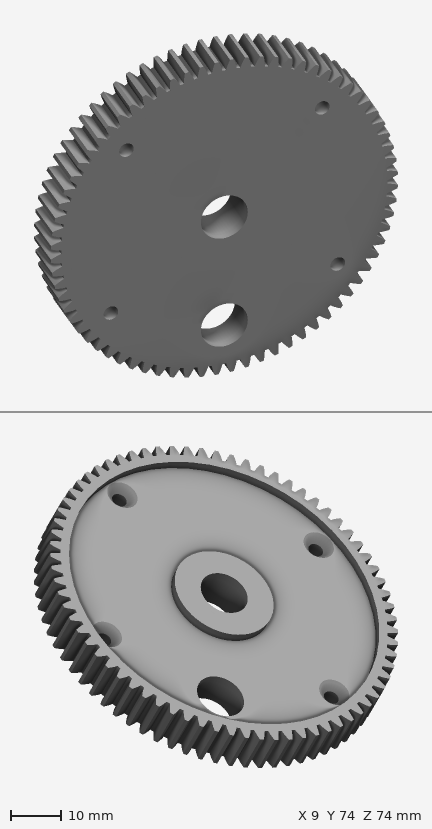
import cadquery as cq
import math

outer_size = 73.95
thickness = 9.0

tooth_count = 72
pressure_angle = math.radians(20)
addendum_factor = 1.0
dedendum_factor = 1.25

recess_radius = 33.0
recess_depth = 2.0
hub_radius = 10.5

bore_diameter = 10.0
lower_hole_offset = 25.6

screw_circle_radius = 29.5
screw_angles = [45, 135, 215, 325]
screw_hole_diameter = 3.1
countersink_diameter = 6.4
countersink_angle = 90


def involute(angle):
    """Involute function, used to find how a tooth narrows along its flank."""
    return math.tan(angle) - angle


def tooth_half_angle(radius_ratio):
    """Half the angle a tooth spans at a radius given in pitch radii."""
    flank_angle = math.acos(math.cos(pressure_angle) / radius_ratio)
    return math.pi / (2 * tooth_count) + involute(pressure_angle) - involute(flank_angle)


def polar(radius, angle):
    return (radius * math.cos(angle), radius * math.sin(angle))


pitch_angle = 2 * math.pi / tooth_count
tip_ratio = 1 + 2 * addendum_factor / tooth_count
root_ratio = 1 - 2 * dedendum_factor / tooth_count
tip_half_angle = tooth_half_angle(tip_ratio)
root_half_angle = tooth_half_angle(root_ratio)
tip_radius = outer_size / 2 / math.cos(pitch_angle / 2 - tip_half_angle)
pitch_radius = tip_radius / tip_ratio
root_radius = pitch_radius * root_ratio
pitch_half_angle = tooth_half_angle(1)


def gear_blank():
    """Toothed disc from X = 0 to X = thickness, each flank an arc through the involute."""
    first_center = pitch_angle / 2
    outline = cq.Workplane("YZ").moveTo(*polar(root_radius, first_center - root_half_angle))
    for tooth in range(tooth_count):
        center = first_center + tooth * pitch_angle
        next_center = center + pitch_angle
        outline = (
            outline
            .threePointArc(
                polar(pitch_radius, center - pitch_half_angle),
                polar(tip_radius, center - tip_half_angle),
            )
            .threePointArc(
                polar(tip_radius, center),
                polar(tip_radius, center + tip_half_angle),
            )
            .threePointArc(
                polar(pitch_radius, center + pitch_half_angle),
                polar(root_radius, center + root_half_angle),
            )
            .threePointArc(
                polar(root_radius, center + pitch_angle / 2),
                polar(root_radius, next_center - root_half_angle),
            )
        )
    return outline.close().extrude(thickness)


def recess():
    """Ring cut into the -X face, leaving the hub and the rim level with each other."""
    return cq.Workplane("YZ").circle(recess_radius).circle(hub_radius).extrude(recess_depth)


def large_holes():
    """Central bore and the hole below it, through the full thickness."""
    centers = [(0, 0), (0, -lower_hole_offset)]
    return cq.Workplane("YZ").pushPoints(centers).circle(bore_diameter / 2).extrude(thickness)


def screw_hole():
    """Through hole on the X axis, countersunk from the recess floor."""
    hole_radius = screw_hole_diameter / 2
    sink_radius = countersink_diameter / 2
    sink_depth = (sink_radius - hole_radius) / math.tan(math.radians(countersink_angle / 2))
    return (
        cq.Workplane("XY")
        .moveTo(recess_depth, 0)
        .lineTo(recess_depth, sink_radius)
        .lineTo(recess_depth + sink_depth, hole_radius)
        .lineTo(thickness, hole_radius)
        .lineTo(thickness, 0)
        .close()
        .revolve(360, (0, 0, 0), (1, 0, 0))
    )


result = gear_blank().cut(recess()).cut(large_holes())
for angle in screw_angles:
    hole_y, hole_z = polar(screw_circle_radius, math.radians(angle))
    result = result.cut(screw_hole().translate((0, hole_y, hole_z)))